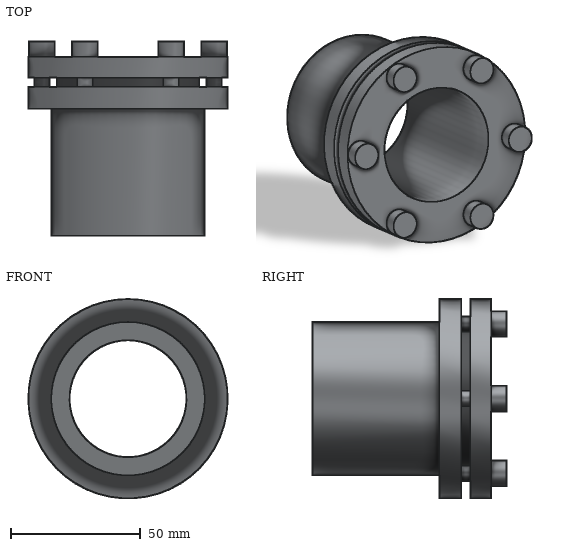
import cadquery as cq
import math

flange_diameter = 77.0
tube_diameter = 59.2
bore_diameter = 45.0
spacer_diameter = 55.0
bolt_circle_diameter = 66.5
bolt_head_diameter = 10.0
bolt_shank_diameter = 6.0
bolt_count = 6

tube_length = 49.0
front_flange_thickness = 8.5
gap_width = 3.5
back_flange_thickness = 8.0
bolt_head_height = 6.0

front_flange_start = tube_length
gap_start = front_flange_start + front_flange_thickness
back_flange_start = gap_start + gap_width
bolt_head_start = back_flange_start + back_flange_thickness


def cylinder(diameter, start, length, x=0.0, z=0.0):
    """Cylinder along +Y, starting at Y = start, with its axis through (x, z)."""
    base = cq.Vector(x, start, z)
    along_y = cq.Vector(0, 1, 0)
    return cq.Workplane(cq.Solid.makeCylinder(diameter / 2, length, base, along_y))


def flanged_tube():
    """Tube, two flanges and the spacer ring between them, with a through bore."""
    tube = cylinder(tube_diameter, 0.0, tube_length)
    front_flange = cylinder(flange_diameter, front_flange_start, front_flange_thickness)
    spacer = cylinder(spacer_diameter, gap_start, gap_width)
    back_flange = cylinder(flange_diameter, back_flange_start, back_flange_thickness)
    bore = cylinder(bore_diameter, 0.0, bolt_head_start)
    return tube.union(front_flange).union(spacer).union(back_flange).cut(bore)


def bolt(angle):
    """Bolt on the bolt circle: a shank across the gap and a head behind the back flange."""
    x = bolt_circle_diameter / 2 * math.cos(angle)
    z = bolt_circle_diameter / 2 * math.sin(angle)
    shank = cylinder(bolt_shank_diameter, gap_start, bolt_head_start - gap_start, x, z)
    head = cylinder(bolt_head_diameter, bolt_head_start, bolt_head_height, x, z)
    return shank.union(head)


result = flanged_tube()
for index in range(bolt_count):
    result = result.union(bolt(2 * math.pi * index / bolt_count))